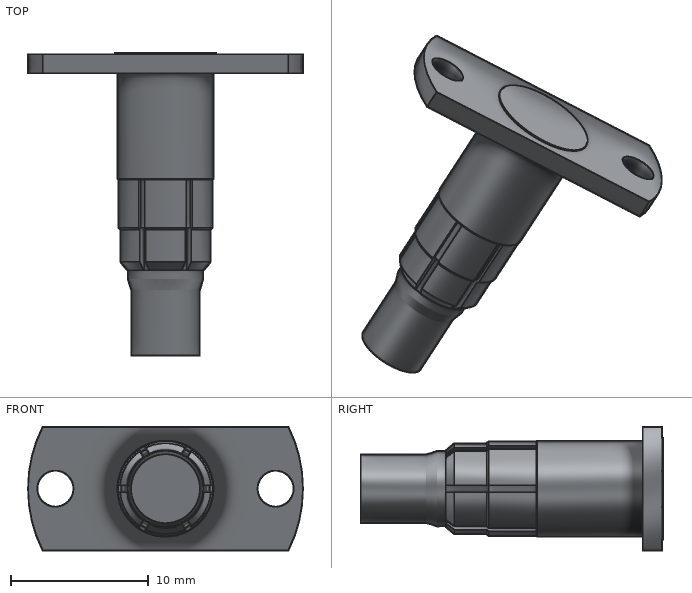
import cadquery as cq

FLANGE_RADIUS = 10.0
FLANGE_HEIGHT = 9.0
FLANGE_THICKNESS = 1.4
SCREW_HOLE_DIAMETER = 2.6
SCREW_HOLE_OFFSET = 8.0

RIM_RADIUS = 3.7
RIM_HEIGHT = 0.1

BARREL_RADIUS = 3.5
SLEEVE_RADIUS = 3.45
COLLET_RADIUS = 3.3
COLLET_NOSE_RADIUS = 2.8
NECK_RADIUS = 2.75
TIP_RADIUS = 2.5

BARREL_END = 7.65
SLEEVE_START = 7.73
SLEEVE_END = 11.2
COLLET_START = 11.35
CONE_START = 13.7
CONE_END = 14.3
NECK_END = 14.94
TAPER_END = 15.75
TIP_END = 20.5

SLOT_COUNT = 6
SLOT_WIDTH = 0.5
SLEEVE_SLOT_RADIUS = 3.18
COLLET_SLOT_RADIUS = 2.7


def disc_toward_front(radius, start, end):
    """Cylinder about the part axis, between two distances in front of the flange."""
    return cq.Workplane("XZ", origin=(0, -start, 0)).circle(radius).extrude(end - start)


def make_flange():
    disc = disc_toward_front(FLANGE_RADIUS, -FLANGE_THICKNESS, 0)
    flats = cq.Workplane("XY").box(2 * FLANGE_RADIUS, 2 * FLANGE_THICKNESS, FLANGE_HEIGHT)
    screw_holes = (
        cq.Workplane("XZ")
        .pushPoints([(-SCREW_HOLE_OFFSET, 0), (SCREW_HOLE_OFFSET, 0)])
        .circle(SCREW_HOLE_DIAMETER / 2)
        .extrude(FLANGE_THICKNESS, both=True)
    )
    rim = disc_toward_front(RIM_RADIUS, -FLANGE_THICKNESS - RIM_HEIGHT, 0)
    return disc.intersect(flats).cut(screw_holes).union(rim)


def make_body():
    """Turned body, revolved from (radius, distance in front of the flange) points."""
    half_profile = [
        (0, -FLANGE_THICKNESS),
        (BARREL_RADIUS, -FLANGE_THICKNESS),
        (BARREL_RADIUS, BARREL_END),
        (SLEEVE_RADIUS, SLEEVE_START),
        (SLEEVE_RADIUS, SLEEVE_END),
        (COLLET_RADIUS, COLLET_START),
        (COLLET_RADIUS, CONE_START),
        (COLLET_NOSE_RADIUS, CONE_END),
        (NECK_RADIUS, CONE_END),
        (NECK_RADIUS, NECK_END),
        (TIP_RADIUS, TAPER_END),
        (TIP_RADIUS, TIP_END),
        (0, TIP_END),
    ]
    outline = [(radius, -distance) for radius, distance in half_profile]
    return cq.Workplane("XY").polyline(outline).close().revolve(360, (0, 0), (0, 1))


def make_slots(floor_radius, start, end):
    """Radial slot cutters spaced evenly around the axis, leaving a round floor."""
    length = end - start
    bar = cq.Workplane("XY").box(BARREL_RADIUS * 2, length, SLOT_WIDTH)
    bar = bar.translate((BARREL_RADIUS, -(start + end) / 2, 0))
    cutters = bar
    for index in range(1, SLOT_COUNT):
        angle = index * 360 / SLOT_COUNT
        cutters = cutters.union(bar.rotate((0, 0, 0), (0, 1, 0), angle))
    return cutters.cut(disc_toward_front(floor_radius, start, end))


body = make_body()
body = body.cut(make_slots(SLEEVE_SLOT_RADIUS, SLEEVE_START, COLLET_START))
body = body.cut(make_slots(COLLET_SLOT_RADIUS, SLEEVE_END, CONE_END))

result = make_flange().union(body)